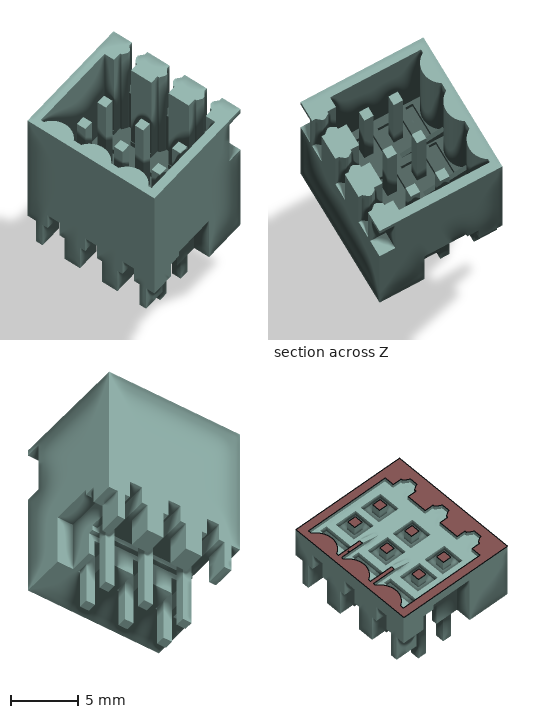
import cadquery as cq


width = 11.9
depth = 10.5
height = 14.23
overall_height = 17.7
side_wall = 0.76
front_wall = 0.64
back_wall = 2.09
floor_z = 5.01

pitch = 3.5
columns = [-pitch, 0, pitch]
pin_size = 0.8
pin_tail = overall_height - height
pin_top_z = 11.97
front_row_y = 3.75
back_row_y = 6.27

bump_half_chord = 1.4
bump_height = 0.8
rib_thickness = 0.35
rib_back_y = 4.32
rib_rise = 0.88
recess_depth = 0.5
pin_recess_size = 2.0
bar_recess_length = 2.78
bar_recess_width = 0.64
bar_recess_y = 1.8
bar_recess_offset = 0.05
foot_depth = 0.05
foot_height = 0.5

mouth_half = 0.7
neck_half = 0.37
flare_half = 0.64
throat_half = 0.8
mouth_end = 0.3
neck_start = 0.7
neck_end = 0.94
flare_end = 1.35
sill_depth = 0.83

notch_width = 1.42
notch_depth = 1.35
notch_height = 4.5
notch_top_z = height - 0.51
notch_bottom_z = notch_top_z - notch_height

skirt_depth = 2.0
tunnel_height = 2.51
tunnel_step_height = 2.05
tunnel_back_y = 4.58
skirt_corner = 0.78
pocket_inset = 1.4
pocket_height = 4.5
pocket_step_y = 3.01
pocket_step_height = 4.0
wide_slot = 2.05
narrow_slot = 1.1
front_slot_height = 4.05
back_slot_height = 1.54
front_pin_back = front_row_y + pin_size / 2
back_pin_back = back_row_y + pin_size / 2


def block(x0, x1, y0, y1, z0, z1):
    """Box between two opposite corners."""
    return cq.Workplane("XY").box(x1 - x0, y1 - y0, z1 - z0, centered=False).translate((x0, y0, z0))


def centred_block(x, size_x, y0, y1, z0, z1):
    """Box centred on x."""
    return block(x - size_x / 2, x + size_x / 2, y0, y1, z0, z1)


def side_profile(points, x0, length):
    """Y-Z outline extruded along +X from x0."""
    return cq.Workplane("YZ").polyline(points).close().extrude(length).translate((x0, 0, 0))


def both_sides(solid):
    """Solid joined with its mirror image across X = 0."""
    return solid.union(solid.mirror("YZ"))


def bump(x):
    """Round-nosed rib standing on the inside of the front wall."""
    return (
        cq.Workplane("XY", origin=(x, front_wall, floor_z))
        .moveTo(-bump_half_chord, 0)
        .threePointArc((0, bump_height), (bump_half_chord, 0))
        .close()
        .extrude(height - floor_z)
    )


def gusset(x):
    """Triangular rib between the cavity floor and the front wall."""
    points = [(front_wall, floor_z), (rib_back_y, floor_z), (front_wall, floor_z + rib_rise)]
    return side_profile(points, x - rib_thickness / 2, rib_thickness)


def keyway(x):
    """Waisted slot through the back wall, open at the top."""
    right_side = [
        (mouth_half, 0),
        (mouth_half, -mouth_end),
        (neck_half, -neck_start),
        (neck_half, -neck_end),
        (flare_half, -flare_end),
        (throat_half, -flare_end),
        (throat_half, -back_wall),
    ]
    left_side = [(-px, py) for px, py in reversed(right_side)]
    slot = (
        cq.Workplane("XY", origin=(x, depth, floor_z))
        .polyline(right_side + left_side)
        .close()
        .extrude(height - floor_z)
    )
    sill = centred_block(x, 2 * mouth_half, depth - sill_depth, depth, floor_z, notch_bottom_z)
    return slot.cut(sill)


def floor_recesses(x):
    """Square recess round each pin and a bar recess beside the front wall."""
    half = pin_recess_size / 2
    z0 = floor_z - recess_depth
    bar_half = bar_recess_width / 2
    bar_x = x + bar_recess_offset
    bar_front = bar_recess_y - bar_half
    bar_back = bar_recess_y + bar_half
    cutter = centred_block(bar_x, bar_recess_length, bar_front, bar_back, z0, floor_z)
    for y in (front_row_y, back_row_y):
        cutter = cutter.union(centred_block(x, pin_recess_size, y - half, y + half, z0, floor_z))
    return cutter


def pin_slots(x):
    """Slots in the underside that open the pins of one column to the front."""
    wide = centred_block(x, wide_slot, 0, skirt_depth, 0, tunnel_height)
    front = centred_block(x, narrow_slot, 0, front_pin_back, 0, front_slot_height)
    back = centred_block(x, narrow_slot, tunnel_back_y, back_pin_back, 0, back_slot_height)
    return wide.union(front).union(back)


half_width = width / 2
cavity_half = half_width - side_wall
cavity_back = depth - back_wall
body = block(-half_width, half_width, 0, depth, 0, height)
body = body.cut(block(-cavity_half, cavity_half, front_wall, cavity_back, floor_z, height))

body = body.union(
    block(-cavity_half, cavity_half, cavity_back - foot_depth, cavity_back, floor_z, floor_z + foot_height)
)
for x in columns:
    foot_gap = centred_block(x, 2 * throat_half, cavity_back - foot_depth, cavity_back, floor_z, height)
    body = body.cut(foot_gap).cut(keyway(x)).cut(floor_recesses(x)).union(bump(x))
for x in (-pitch / 2, pitch / 2):
    body = body.union(gusset(x))

body = body.cut(
    both_sides(
        block(-half_width, notch_width - half_width, depth - notch_depth, depth, notch_bottom_z, notch_top_z)
    )
)

tunnel_profile = [
    (skirt_depth, 0),
    (skirt_depth, tunnel_height),
    (front_pin_back, tunnel_height),
    (front_pin_back, tunnel_step_height),
    (tunnel_back_y, tunnel_step_height),
    (tunnel_back_y, 0),
]
body = body.cut(side_profile(tunnel_profile, -half_width, width))

pocket_profile = [
    (skirt_depth, 0),
    (skirt_depth, pocket_step_height),
    (pocket_step_y, pocket_step_height),
    (pocket_step_y, pocket_height),
    (back_pin_back, pocket_height),
    (back_pin_back, 0),
]
body = body.cut(both_sides(side_profile(pocket_profile, -half_width, pocket_inset)))
body = body.cut(both_sides(block(-half_width, skirt_corner - half_width, 0, skirt_depth, 0, tunnel_height)))

for x in columns:
    body = body.cut(pin_slots(x))

for x in columns:
    for y in (front_row_y, back_row_y):
        body = body.union(
            centred_block(x, pin_size, y - pin_size / 2, y + pin_size / 2, -pin_tail, pin_top_z)
        )

result = body